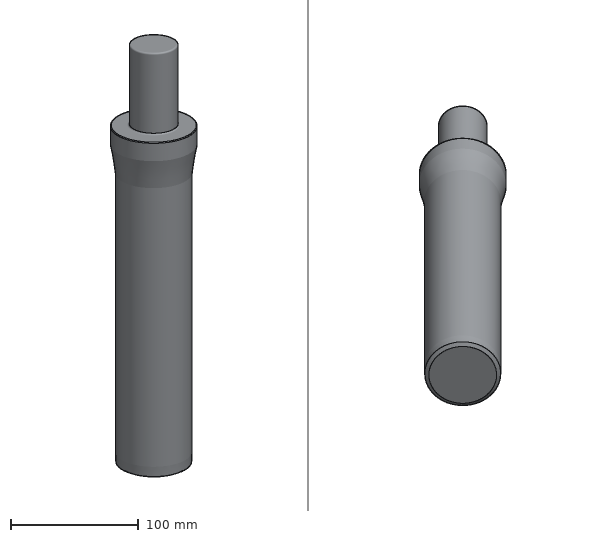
import cadquery as cq
import math

total_height = 358.0
collar_diameter = 68.0
tube_diameter = 60.0
rod_diameter = 38.5

collar_top = 288.5
collar_bottom = 272.5
flare_bottom = 248.0
foot_top = 10.0

rod_round = 1.5
collar_chamfer = 0.7
foot_taper = 0.5
base_chamfer_width = 3.2
base_chamfer_height = 1.8
flare_hollow = 0.5
lip_round = 1.5
rod_seat_depth = 16.0

collar_radius = collar_diameter / 2
tube_radius = tube_diameter / 2
rod_radius = rod_diameter / 2
rod_seat = collar_top - rod_seat_depth


def make_housing():
    """Closed tube with a flared collar, a raised hollow-sided lip and a blind seat for the rod."""
    foot_radius = tube_radius - foot_taper
    flare_middle = (
        (collar_radius + tube_radius) / 2 - flare_hollow,
        (collar_bottom + flare_bottom) / 2,
    )
    lip_radius = rod_radius + lip_round
    lip_sag = lip_round * (1 - math.sqrt(0.5))
    lip_middle = (rod_radius + lip_sag, collar_top + lip_sag)
    lip_top = (rod_radius, collar_top + lip_round)
    return (
        cq.Workplane("XZ")
        .lineTo(foot_radius - base_chamfer_width, 0)
        .lineTo(foot_radius, base_chamfer_height)
        .lineTo(tube_radius, foot_top)
        .lineTo(tube_radius, flare_bottom)
        .threePointArc(flare_middle, (collar_radius, collar_bottom))
        .lineTo(collar_radius, collar_top - collar_chamfer)
        .lineTo(collar_radius - collar_chamfer, collar_top)
        .lineTo(lip_radius, collar_top)
        .threePointArc(lip_middle, lip_top)
        .lineTo(rod_radius, rod_seat)
        .lineTo(0, rod_seat)
        .close()
        .revolve(360, (0, 0, 0), (0, 1, 0))
    )


def make_rod():
    """Plain round rod standing in the housing seat, rounded at its free end."""
    return (
        cq.Workplane("XY", origin=(0, 0, rod_seat))
        .circle(rod_radius)
        .extrude(total_height - rod_seat)
        .faces(">Z")
        .edges()
        .fillet(rod_round)
    )


housing = make_housing()
rod = make_rod()

result = cq.Compound.makeCompound([housing.val(), rod.val()])